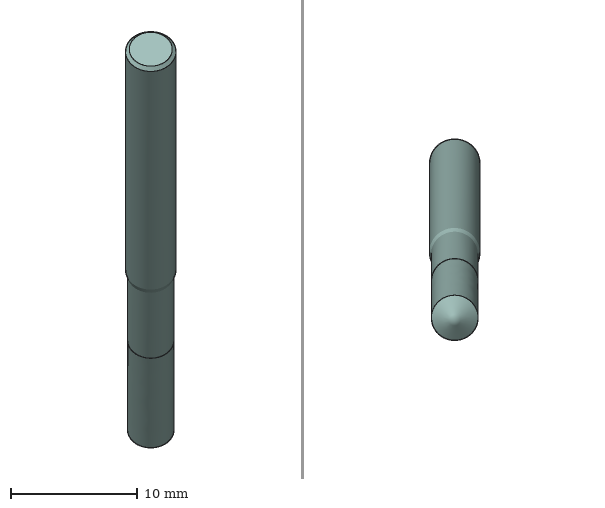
import cadquery as cq
import math

overall_length = 50.0

shank_diameter = 4.0
neck_diameter = 3.7
grip_length = 28.4
shoulder_height = 0.6
top_chamfer = 0.3

cutting_diameter = 3.7
back_diameter = 3.68
tip_length = 12.6
point_angle = 120.0

shank_radius = shank_diameter / 2
neck_radius = neck_diameter / 2
cutting_radius = cutting_diameter / 2
back_radius = back_diameter / 2
point_height = cutting_radius / math.tan(math.radians(point_angle / 2))
grip_bottom = overall_length - grip_length
neck_top = grip_bottom - shoulder_height


def turned_body(outline):
    """Revolve a closed outline of (radius, height) points about the Z axis."""
    return cq.Workplane("XZ").polyline(outline).close().revolve(360, (0, 0, 0), (0, 1, 0))


def make_shank():
    """Turned shank, from the neck's flat lower face up to the chamfered top."""
    return turned_body([
        (0, tip_length),
        (neck_radius, tip_length),
        (neck_radius, neck_top),
        (shank_radius, grip_bottom),
        (shank_radius, overall_length - top_chamfer),
        (shank_radius - top_chamfer, overall_length),
        (0, overall_length),
    ])


def make_drill_tip():
    """Cutting part with its point at the origin, butted flat against the neck."""
    return turned_body([
        (0, 0),
        (cutting_radius, point_height),
        (back_radius, tip_length),
        (0, tip_length),
    ])


shank = make_shank()
drill_tip = make_drill_tip()

result = cq.Compound.makeCompound([shank.val(), drill_tip.val()])